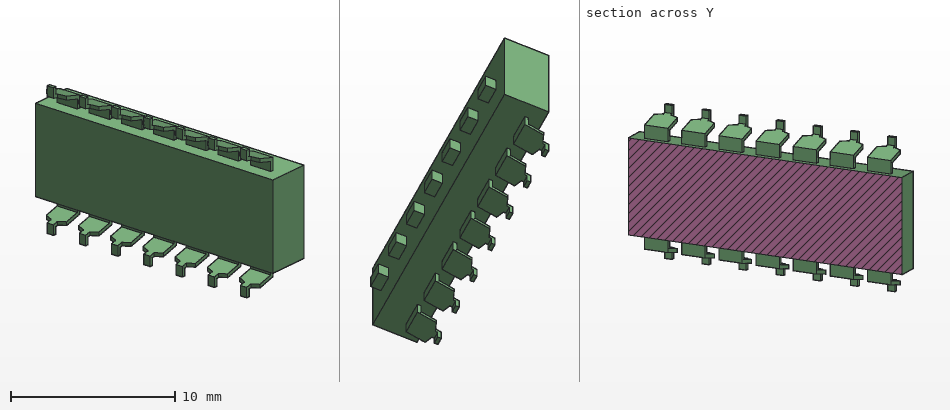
import cadquery as cq
import math

body_length = 18.72
body_depth = 3.0
body_height = 6.2

position_count = 7
pitch = 2.54

actuator_width = 1.1
actuator_height = 1.0
actuator_protrusion = 0.7
actuator_center_z = -0.45

lead_thickness = 0.25
lead_back_y = -0.32
lead_embed = 0.3
lead_slope_degrees = 15
shoulder_z = 3.955
tip_z = 4.9
tip_overhang = 0.7
lead_width = 1.6
foot_width = 0.5
taper_start_y = -1.6
taper_end_y = -1.8

front_y = -body_depth / 2
back_y = body_depth / 2
top_z = body_height / 2
lead_front_y = lead_back_y - lead_thickness
lead_tip_y = front_y - tip_overhang
foot_back_y = lead_tip_y + lead_thickness
lead_slope = math.radians(lead_slope_degrees)
ankle_z = shoulder_z + (lead_back_y - foot_back_y) * math.tan(lead_slope)
bend_drop = lead_thickness * (1 / math.cos(lead_slope) - math.tan(lead_slope))
position_xs = [(i - (position_count - 1) / 2) * pitch for i in range(position_count)]


def make_body():
    return cq.Workplane("XY").box(body_length, body_depth, body_height)


def make_actuator(x):
    return (
        cq.Workplane("XY")
        .box(actuator_width, actuator_protrusion, actuator_height)
        .translate((x, back_y + actuator_protrusion / 2, actuator_center_z))
    )


def make_upper_lead():
    """Bent strip rising from the top face, centred on X = 0, trimmed to its tapered plan outline."""
    root_z = top_z - lead_embed
    bent_strip = (
        cq.Workplane("YZ")
        .moveTo(lead_back_y, root_z)
        .lineTo(lead_back_y, shoulder_z)
        .lineTo(foot_back_y, ankle_z)
        .lineTo(foot_back_y, tip_z)
        .lineTo(lead_tip_y, tip_z)
        .lineTo(lead_tip_y, ankle_z - bend_drop)
        .lineTo(lead_front_y, shoulder_z - bend_drop)
        .lineTo(lead_front_y, root_z)
        .close()
        .extrude(lead_width / 2, both=True)
    )
    plan = (
        cq.Workplane("XY")
        .workplane(offset=root_z)
        .moveTo(-lead_width / 2, lead_back_y)
        .lineTo(-lead_width / 2, taper_start_y)
        .lineTo(-foot_width / 2, taper_end_y)
        .lineTo(-foot_width / 2, lead_tip_y)
        .lineTo(foot_width / 2, lead_tip_y)
        .lineTo(foot_width / 2, taper_end_y)
        .lineTo(lead_width / 2, taper_start_y)
        .lineTo(lead_width / 2, lead_back_y)
        .close()
        .extrude(tip_z - root_z)
    )
    return bent_strip.intersect(plan)


result = make_body()
upper_lead = make_upper_lead()
lower_lead = upper_lead.mirror("XY")
for x in position_xs:
    result = result.union(make_actuator(x))
    result = result.union(upper_lead.translate((x, 0, 0)))
    result = result.union(lower_lead.translate((x, 0, 0)))